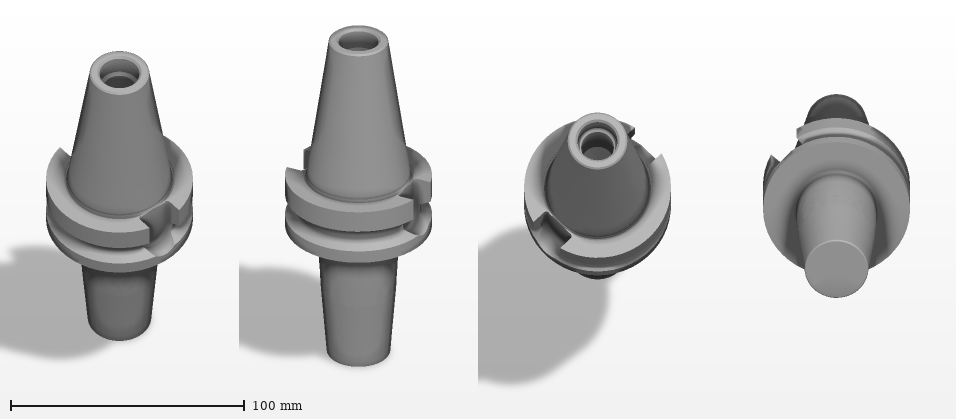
import cadquery as cq
import math

total_length = 155.4
taper_length = 65.5
top_z = taper_length
bottom_z = top_z - total_length

gauge_radius = 22.2
taper_ratio = 7 / 24
taper_top_radius = gauge_radius - taper_length * taper_ratio / 2
top_edge_chamfer = 0.6

gauge_band_end_z = -1.1
relief_inner_radius = 22.8
relief_outer_radius = 23.6
relief_floor_z = -2.3

flange_radius = 31.47
flange_top_z = -1.9
flange_bottom_z = -27.0
groove_radius = 26.5
groove_center_z = -16.5
groove_mouth_width = 9.8
groove_flank_angle = math.radians(30)
groove_depth = flange_radius - groove_radius
groove_floor_width = groove_mouth_width - 2 * groove_depth * math.tan(groove_flank_angle)
groove_fillet = 1.1

neck_radius = 17.1
neck_end_z = -32.6
neck_fillet = 1.7
nose_cone_angle = math.radians(4.5)
nose_cone_top_z = -58.5
nose_blend_radius = (neck_end_z - nose_cone_top_z) / math.sin(nose_cone_angle)
nose_cone_top_radius = neck_radius - nose_blend_radius * (1 - math.cos(nose_cone_angle))
nose_tip_radius = nose_cone_top_radius - (nose_cone_top_z - bottom_z) * math.tan(nose_cone_angle)
tip_fillet = 0.8

slot_width = 16.3
slot_floor_x = 22.7
slot_center_z = -14.9
slot_fillet = 1.5
slot_cutter_overshoot = 1.5

bore_radius = 8.5
bore_depth = 9.0
bore_chamfer = 1.0
drill_radius = 7.0
drill_depth = 31.1
drill_point_angle = 118.0


def make_body():
    """Revolve the outer profile, from the nose tip up to the taper top."""
    mouth_half = groove_mouth_width / 2
    floor_half = groove_floor_width / 2
    blend_mid_angle = nose_cone_angle / 2
    blend_mid = (
        neck_radius - nose_blend_radius * (1 - math.cos(blend_mid_angle)),
        neck_end_z - nose_blend_radius * math.sin(blend_mid_angle),
    )
    upper_points = [
        (neck_radius, flange_bottom_z),
        (flange_radius, flange_bottom_z),
        (flange_radius, groove_center_z - mouth_half),
        (groove_radius, groove_center_z - floor_half),
        (groove_radius, groove_center_z + floor_half),
        (flange_radius, groove_center_z + mouth_half),
        (flange_radius, flange_top_z),
        (relief_outer_radius, flange_top_z),
        (relief_outer_radius, relief_floor_z),
        (relief_inner_radius, relief_floor_z),
        (gauge_radius, gauge_band_end_z),
        (gauge_radius, 0),
        (taper_top_radius, top_z),
        (0, top_z),
    ]
    profile = (
        cq.Workplane("XZ")
        .moveTo(0, bottom_z)
        .lineTo(nose_tip_radius, bottom_z)
        .lineTo(nose_cone_top_radius, nose_cone_top_z)
        .threePointArc(blend_mid, (neck_radius, neck_end_z))
        .polyline(upper_points, includeCurrent=True)
        .close()
    )
    body = profile.revolve(360, (0, 0), (0, 1))
    body = fillet_ring(body, groove_radius, groove_center_z - floor_half, groove_fillet)
    body = fillet_ring(body, groove_radius, groove_center_z + floor_half, groove_fillet)
    body = fillet_ring(body, neck_radius, flange_bottom_z, neck_fillet)
    body = fillet_ring(body, nose_tip_radius, bottom_z, tip_fillet)
    return body.faces(">Z").edges().chamfer(top_edge_chamfer)


def fillet_ring(body, radius, z, fillet_radius):
    """Round the circular edge of the given radius at height z."""
    margin = 0.02
    reach = radius + margin
    ring = cq.selectors.BoxSelector(
        (-reach, -reach, z - margin), (reach, reach, z + margin), boundingbox=True
    )
    rings = body.edges(ring).edges("%CIRCLE")
    return rings.fillet(fillet_radius)


def make_slot_cutter():
    """Round-ended drive slot on the +X side, open at the flange top, with a rounded floor edge."""
    half_width = slot_width / 2
    cutter_top_z = flange_top_z
    cutter_depth = flange_radius - slot_floor_x + slot_cutter_overshoot
    cutter = (
        cq.Workplane("YZ", origin=(slot_floor_x, 0, 0))
        .moveTo(-half_width, cutter_top_z)
        .lineTo(-half_width, slot_center_z)
        .threePointArc((0, slot_center_z - half_width), (half_width, slot_center_z))
        .lineTo(half_width, cutter_top_z)
        .close()
        .extrude(cutter_depth)
    )
    return cutter.faces("<X").edges("not >Z").fillet(slot_fillet)


def make_bore():
    """Chamfered counterbore with a conical floor, then a narrower hole with a drill point."""
    point_slope = 1 / math.tan(math.radians(drill_point_angle / 2))
    profile = [
        (0, top_z),
        (bore_radius + bore_chamfer, top_z),
        (bore_radius, top_z - bore_chamfer),
        (bore_radius, top_z - bore_depth),
        (drill_radius, top_z - bore_depth - point_slope * (bore_radius - drill_radius)),
        (drill_radius, top_z - drill_depth),
        (0, top_z - drill_depth - point_slope * drill_radius),
    ]
    return cq.Workplane("XZ").polyline(profile).close().revolve(360, (0, 0), (0, 1))


result = make_body().cut(make_bore())
for side_angle in (0, 180):
    result = result.cut(make_slot_cutter().rotate((0, 0, 0), (0, 0, 1), side_angle))